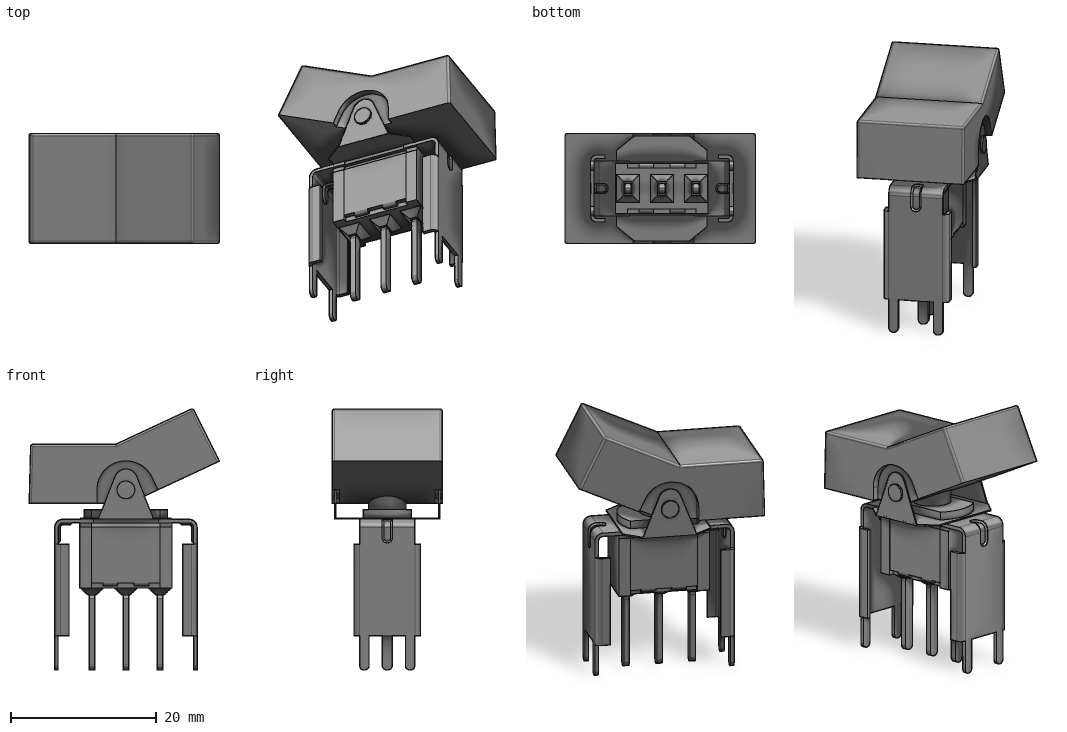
import cadquery as cq
import math


PIVOT_Z = 24.75
ROCKER_ANGLE = 25.0
CAP_WIDTH = 15.1
CAP_BASE_LENGTH = 13.3
CAP_TOP_LENGTH = 13.1
CAP_DROP = 1.85
CAP_RISE = 6.28
CAP_ROUND = 0.32
RECESS_RADIUS = 4.0
RECESS_DEPTH = 1.0

EAR_OUTER_Y = 7.2
EAR_THICKNESS = 0.18
EAR_BASE_HALF = 3.8
EAR_TIP_DIAMETER = 3.2
EAR_TIP_Z = 26.0
PIVOT_PLATE_HALF_LENGTH = 6.2
PIVOT_PLATE_SIDE_HALF = 5.25
PIVOT_PIN_DIAMETER = 2.45
PIVOT_PIN_HALF_LENGTH = 7.5

FLANGE_RADIUS = 5.75
FLANGE_WIDTH = 6.6
FLANGE_TOP_Z = 22.03
BUSHING_DIAMETER = 5.2

SHEET = 0.5
BRACKET_TOP_Z = 20.75
BRACKET_HALF_LENGTH = 9.8
BRACKET_WIDTH = 7.6
BRACKET_BEND = 1.15
BRACKET_NOTCH_LENGTH = 8.95
BRACKET_NOTCH_DEPTH = 0.15
LEG_BOTTOM_Z = 4.7
FOOT_WIDTH = 1.33
WING_TOP_Z = 17.3
WING_BEND = 0.8
WING_REACH = 2.0

GROOVE_DEPTH = 0.3
GROOVE_WIDTH = 1.45
GROOVE_WALL_SLOPE = 0.25
GROOVE_BOTTOM_Z = 17.47
GROOVE_INNER_X = 7.4

BODY_LENGTH = 12.7
BODY_WIDTH = 6.95
BODY_BOTTOM_Z = 11.25
COVER_LENGTH = 9.4
COVER_WIDTH = 6.9
COVER_SHEET = 0.6
COVER_BOTTOM_Z = 12.0
COVER_BEVEL_DEPTH = 0.3
TAB_SPACING = 4.3
TAB_LENGTH = 2.05
TAB_BOTTOM_Z = 11.55
TAB_ROUND = 0.35

TERMINAL_PITCH = 4.65
TERMINAL_THICKNESS = 0.8
TERMINAL_WIDTH = 1.45
NECK_WIDTH = 1.15
NECK_BOTTOM_Z = 9.85
SEAL_HEIGHT = 0.95
SEAL_BASE_LENGTH = 3.15
SEAL_TIP_LENGTH = 1.15
SEAL_BASE_WIDTH = 3.88
SEAL_TIP_WIDTH = 1.85

END_ROUND_RATIO = 0.49

BRACKET_BOTTOM_Z = BRACKET_TOP_Z - SHEET
EAR_INNER_Y = EAR_OUTER_Y - EAR_THICKNESS


def block(x0, x1, y0, y1, z0, z1):
    """Box between two opposite corners."""
    return cq.Workplane("XY").box(x1 - x0, y1 - y0, z1 - z0, centered=False).translate((x0, y0, z0))


def centred_block(length, width, z0, z1):
    """Box centred on the Z axis."""
    return block(-length / 2, length / 2, -width / 2, width / 2, z0, z1)


def both_ends(left_part):
    """A left-hand part together with its mirror image on the right."""
    return left_part.union(left_part.mirror("YZ"))


def tilted_mirror(level_part):
    """Mirror image of a level left-hand part, turned up about the pivot axis."""
    return level_part.mirror("YZ").rotate((0, 0, 0), (0, 1, 0), -ROCKER_ANGLE)


def recess_cutter():
    """Round-topped relief whose straight flanks run square to both cap undersides."""
    reach = 2 * CAP_DROP
    flank = (
        cq.Workplane("XZ")
        .polyline([(-RECESS_RADIUS, 0), (0, 0), (0, -reach), (-RECESS_RADIUS, -reach)])
        .close()
        .extrude(RECESS_DEPTH)
    )
    disc = cq.Workplane("XZ").circle(RECESS_RADIUS).extrude(RECESS_DEPTH)
    return disc.union(flank).union(tilted_mirror(flank)).translate((0, RECESS_DEPTH - CAP_WIDTH / 2, PIVOT_Z))


def make_cap():
    joint_slope = math.tan(math.radians(ROCKER_ANGLE / 2))
    level_half = (
        cq.Workplane("XZ")
        .polyline([
            (-CAP_BASE_LENGTH, -CAP_DROP),
            (CAP_DROP * joint_slope, -CAP_DROP),
            (-CAP_RISE * joint_slope, CAP_RISE),
            (-CAP_TOP_LENGTH, CAP_RISE),
        ])
        .close()
        .extrude(CAP_WIDTH / 2, both=True)
    )
    top_edges = level_half.faces(">Z").edges("|X or <X")
    end_edges = level_half.faces("<X").edges("not |Y")
    level_half = top_edges.add(end_edges).fillet(CAP_ROUND)
    cap = level_half.union(tilted_mirror(level_half)).translate((0, 0, PIVOT_Z))

    recess = recess_cutter()
    return cap.cut(recess).cut(recess.mirror("XZ"))


def make_ear():
    """Tapered upright with a round tip, tangent to both sloping sides."""
    tip_radius = EAR_TIP_DIAMETER / 2
    rise = EAR_TIP_Z - BRACKET_TOP_Z
    tangent_angle = math.acos(tip_radius / math.hypot(EAR_BASE_HALF, rise)) - math.atan2(rise, EAR_BASE_HALF)
    tangent_x = tip_radius * math.cos(tangent_angle)
    tangent_z = EAR_TIP_Z + tip_radius * math.sin(tangent_angle)
    return (
        cq.Workplane("XZ")
        .moveTo(-EAR_BASE_HALF, BRACKET_TOP_Z)
        .lineTo(EAR_BASE_HALF, BRACKET_TOP_Z)
        .lineTo(tangent_x, tangent_z)
        .threePointArc((0, EAR_TIP_Z + tip_radius), (-tangent_x, tangent_z))
        .close()
        .extrude(EAR_THICKNESS)
        .translate((0, -EAR_INNER_Y, 0))
    )


def make_pivot_frame():
    plate = (
        cq.Workplane("XY", origin=(0, 0, BRACKET_TOP_Z))
        .polyline([
            (0, -EAR_OUTER_Y),
            (EAR_BASE_HALF, -EAR_OUTER_Y),
            (PIVOT_PLATE_HALF_LENGTH, -PIVOT_PLATE_SIDE_HALF),
            (PIVOT_PLATE_HALF_LENGTH, PIVOT_PLATE_SIDE_HALF),
            (EAR_BASE_HALF, EAR_OUTER_Y),
            (0, EAR_OUTER_Y),
        ])
        .close()
        .extrude(EAR_THICKNESS)
    )
    pin = (
        cq.Workplane("XZ")
        .circle(PIVOT_PIN_DIAMETER / 2)
        .extrude(PIVOT_PIN_HALF_LENGTH, both=True)
        .translate((0, 0, PIVOT_Z))
    )
    ear = make_ear()
    return both_ends(plate).union(ear).union(ear.mirror("XZ")).union(pin)


def make_bushing():
    flange_height = FLANGE_TOP_Z - BRACKET_TOP_Z
    flange = cq.Workplane("XY").circle(FLANGE_RADIUS).extrude(flange_height)
    flange = flange.translate((0, 0, BRACKET_TOP_Z))
    flange = flange.intersect(centred_block(2 * FLANGE_RADIUS, FLANGE_WIDTH, BRACKET_TOP_Z, FLANGE_TOP_Z))
    bushing = cq.Workplane("XY").circle(BUSHING_DIAMETER / 2).extrude(PIVOT_Z - BRACKET_TOP_Z)
    return flange.union(bushing.translate((0, 0, BRACKET_TOP_Z)))


def arch(inset, width, bottom_z):
    """Solid block under the bracket's outer skin, set in by a given amount, with round shoulders."""
    bend = BRACKET_BEND - inset
    solid = centred_block(2 * (BRACKET_HALF_LENGTH - inset), width, bottom_z, BRACKET_TOP_Z - inset)
    return solid.edges("|Y and >Z").fillet(bend)


def groove_band(outer_inset, inner_inset):
    """Round-ended strip, sloping inward all round, that follows the left bracket bend."""
    band = arch(outer_inset, GROOVE_WIDTH, GROOVE_BOTTOM_Z)
    band = band.cut(arch(inner_inset, GROOVE_WIDTH, GROOVE_BOTTOM_Z))
    band = band.intersect(
        block(-BRACKET_HALF_LENGTH, -GROOVE_INNER_X, -GROOVE_WIDTH, GROOVE_WIDTH, 0, BRACKET_TOP_Z)
    )
    end_round = END_ROUND_RATIO * GROOVE_WIDTH
    band = band.edges("|X and <Z").fillet(end_round).edges("|Z and >X").fillet(end_round)
    inner_edge = (inner_inset - BRACKET_HALF_LENGTH, GROOVE_WIDTH / 2, (GROOVE_BOTTOM_Z + BRACKET_TOP_Z) / 2)
    return band.edges("|Z").edges(cq.NearestToPointSelector(inner_edge)).chamfer(GROOVE_WALL_SLOPE)


def groove_pair(outer_inset, inner_inset):
    """The same groove strip at both bracket bends."""
    return both_ends(groove_band(outer_inset, inner_inset))


def make_wing():
    """Flange folded inward from the front edge of the left leg."""
    fold_y = BRACKET_WIDTH / 2 + WING_BEND
    root_y = SHEET - BRACKET_WIDTH / 2
    outer_x = -BRACKET_HALF_LENGTH
    end_x = outer_x + WING_REACH
    wing = block(outer_x, end_x, -fold_y, root_y, LEG_BOTTOM_Z, WING_TOP_Z)
    wing = wing.edges("|Z and <X and <Y").fillet(WING_BEND)
    inside = block(outer_x + SHEET, end_x, SHEET - fold_y, root_y, LEG_BOTTOM_Z, WING_TOP_Z)
    inside = inside.edges("|Z and <X and <Y").fillet(WING_BEND - SHEET)
    return wing.cut(inside)


def round_ended_strip(thickness, width, top_z):
    """Upright flat strip standing on Z = 0 with a rounded lower end."""
    strip = centred_block(thickness, width, 0, top_z)
    return strip.edges("|X and <Z").fillet(END_ROUND_RATIO * width)


def make_bracket():
    bracket = arch(0, BRACKET_WIDTH, LEG_BOTTOM_Z).cut(arch(SHEET, BRACKET_WIDTH, LEG_BOTTOM_Z))
    bracket = bracket.cut(groove_pair(0, GROOVE_DEPTH))
    bracket = bracket.union(groove_pair(SHEET, SHEET + GROOVE_DEPTH))

    notch = centred_block(BRACKET_NOTCH_LENGTH, BRACKET_NOTCH_DEPTH, BRACKET_BOTTOM_Z, BRACKET_TOP_Z)
    foot = round_ended_strip(SHEET, FOOT_WIDTH, LEG_BOTTOM_Z)
    wing = make_wing()
    for side in (-1, 1):
        bracket = bracket.cut(notch.translate((0, side * (BRACKET_WIDTH - BRACKET_NOTCH_DEPTH) / 2, 0)))
        foot_y = side * (BRACKET_WIDTH - FOOT_WIDTH) / 2
        bracket = bracket.union(both_ends(foot.translate((SHEET / 2 - BRACKET_HALF_LENGTH, foot_y, 0))))
    wings = both_ends(wing.union(wing.mirror("XZ")))
    return bracket.union(wings)


def make_body():
    body_top_z = BRACKET_BOTTOM_Z - COVER_SHEET
    recessed_width = COVER_WIDTH - 2 * COVER_SHEET
    body = centred_block(BODY_LENGTH, recessed_width, BODY_BOTTOM_Z, body_top_z)
    corner_length = (BODY_LENGTH - COVER_LENGTH) / 2
    corner = centred_block(corner_length, BODY_WIDTH, BODY_BOTTOM_Z, body_top_z)
    body = body.union(both_ends(corner.translate(((corner_length - BODY_LENGTH) / 2, 0, 0))))

    top_plate = centred_block(BODY_LENGTH, COVER_WIDTH, body_top_z, BRACKET_BOTTOM_Z)
    wrap = centred_block(COVER_LENGTH, COVER_WIDTH, COVER_BOTTOM_Z, BRACKET_BOTTOM_Z)
    bevel_gap = centred_block(COVER_LENGTH, COVER_WIDTH, body_top_z, BRACKET_BOTTOM_Z)
    wrap = wrap.faces(">Z").edges("|X").chamfer(COVER_SHEET, COVER_BEVEL_DEPTH)
    body = body.union(top_plate.cut(bevel_gap)).union(wrap)

    tab = centred_block(TAB_LENGTH, COVER_WIDTH, TAB_BOTTOM_Z, COVER_BOTTOM_Z)
    tab = tab.edges("|X and <Z").fillet(TAB_ROUND)
    for side in (-1, 1):
        body = body.union(tab.translate((side * TAB_SPACING / 2, 0, 0)))
    return body


def make_terminal():
    """Flat pin with a narrowed neck, hanging from a tapered seal."""
    seal_bottom_z = BODY_BOTTOM_Z - SEAL_HEIGHT
    seal = (
        cq.Workplane("XY", origin=(0, 0, BODY_BOTTOM_Z))
        .rect(SEAL_BASE_LENGTH, SEAL_BASE_WIDTH)
        .workplane(offset=-SEAL_HEIGHT)
        .rect(SEAL_TIP_LENGTH, SEAL_TIP_WIDTH)
        .loft()
    )
    neck = (
        cq.Workplane("XY", origin=(0, 0, NECK_BOTTOM_Z))
        .rect(TERMINAL_THICKNESS, TERMINAL_WIDTH)
        .workplane(offset=seal_bottom_z - NECK_BOTTOM_Z)
        .rect(TERMINAL_THICKNESS, NECK_WIDTH)
        .loft()
    )
    pin = round_ended_strip(TERMINAL_THICKNESS, TERMINAL_WIDTH, NECK_BOTTOM_Z)
    return pin.union(neck).union(seal)


result = make_body()
for part in (make_bracket(), make_bushing(), make_pivot_frame(), make_cap()):
    result = result.union(part)
terminal = make_terminal()
for position in (-1, 0, 1):
    result = result.union(terminal.translate((position * TERMINAL_PITCH, 0, 0)))